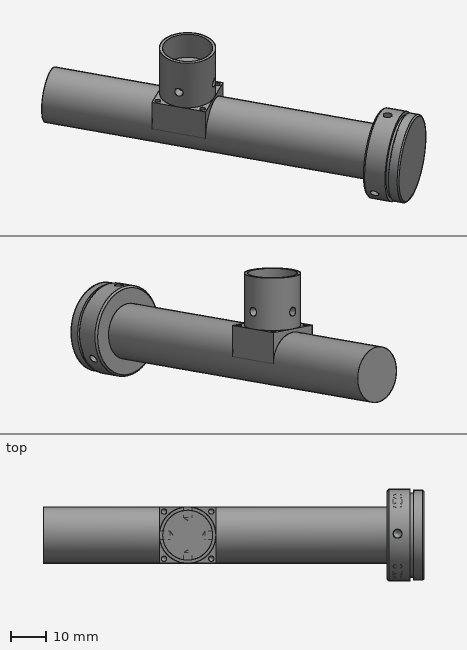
import cadquery as cq
import math

total_length = 107.8
tube_diameter = 16.0

flange_start = 97.2
flange_diameter = 26.0
flange_chamfer = 0.5
groove_start = 103.8
groove_end = 104.8
groove_diameter = 23.9
lip_diameter = 25.4
lip_chamfer = 0.4

port_x = 40.9
block_side = tube_diameter
block_top = 9.0
total_height = 37.0
cup_top = total_height - flange_diameter / 2
cup_diameter = block_side
cup_bore_diameter = 14.1
cup_bore_depth = 7.8

set_hole_diameter = 2.5
set_hole_depth = 3.0
cup_hole_z = 13.9
cup_hole_count = 4
flange_hole_x = 100.3
flange_hole_count = 3
flange_hole_start_angle = 88.0
drill_half_angle = 59.0
block_hole_diameter = 1.5
block_hole_depth = 3.0
block_hole_pitch = 13.4


def drilled_hole(diameter, depth, mouth, direction):
    """Blind hole with a conical tip, cut inward from its mouth along direction."""
    radius = diameter / 2
    tip = radius / math.tan(math.radians(drill_half_angle))
    inward = cq.Vector(*direction)
    start = cq.Vector(*mouth)
    shaft = cq.Solid.makeCylinder(radius, depth, start, inward)
    cone = cq.Solid.makeCone(radius, 0, tip, start + inward * depth, inward)
    return shaft.fuse(cone)


def x_disc(diameter, start, end):
    """Round disc about the X axis."""
    return cq.Workplane("YZ", origin=(start, 0, 0)).circle(diameter / 2).extrude(end - start)


def make_flange():
    disc = x_disc(flange_diameter, flange_start, groove_start).faces("<X").chamfer(flange_chamfer)
    groove = x_disc(groove_diameter, groove_start, groove_end)
    lip = x_disc(lip_diameter, groove_end, total_length).faces(">X").chamfer(lip_chamfer)
    flange = disc.union(groove).union(lip)
    for i in range(flange_hole_count):
        angle = math.radians(flange_hole_start_angle + 360 / flange_hole_count * i)
        y = math.cos(angle)
        z = math.sin(angle)
        radius = flange_diameter / 2
        mouth = (flange_hole_x, radius * y, radius * z)
        flange = flange.cut(drilled_hole(set_hole_diameter, set_hole_depth, mouth, (0, -y, -z)))
    return flange


def make_port():
    block = cq.Workplane("XY", origin=(port_x, 0, 0)).rect(block_side, block_side).extrude(block_top)
    cup = (
        cq.Workplane("XY", origin=(port_x, 0, block_top))
        .circle(cup_diameter / 2)
        .extrude(cup_top - block_top)
        .faces(">Z")
        .workplane()
        .hole(cup_bore_diameter, cup_bore_depth)
    )
    return block.union(cup)


def cut_port_holes(body):
    for i in range(cup_hole_count):
        angle = 2 * math.pi / cup_hole_count * i
        x = math.cos(angle)
        y = math.sin(angle)
        radius = cup_diameter / 2
        mouth = (port_x + radius * x, radius * y, cup_hole_z)
        body = body.cut(drilled_hole(set_hole_diameter, set_hole_depth, mouth, (-x, -y, 0)))

    for side_x in (-1, 1):
        for side_y in (-1, 1):
            mouth = (port_x + side_x * block_hole_pitch / 2, side_y * block_hole_pitch / 2, block_top)
            body = body.cut(drilled_hole(block_hole_diameter, block_hole_depth, mouth, (0, 0, -1)))
    return body


tube = x_disc(tube_diameter, 0, flange_start)
result = cut_port_holes(tube.union(make_flange()).union(make_port()))